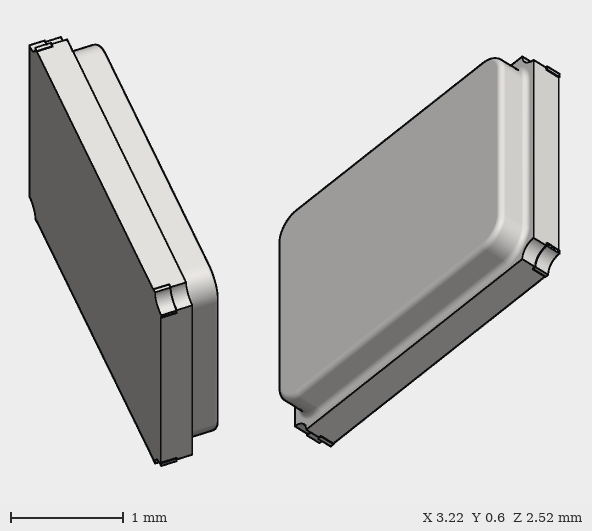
import cadquery as cq

length = 3.22
height = 2.52
depth = 0.6

plating = 0.01
base_length = length - 2 * plating
base_height = height - 2 * plating
base_depth = depth / 2
notch_radius = 0.15

pad_reach = 0.18
plated_radius = notch_radius - plating
pad_depth = base_depth / 2

lid_length = 3.0
lid_height = 2.302
lid_corner_radius = 0.25
lid_edge_radius = 0.05
foot_radius = 0.05

front_y = -depth / 2
lid_y = front_y + base_depth
corners = [(sx * base_length / 2, sz * base_height / 2) for sx in (-1, 1) for sz in (-1, 1)]


def plane_at(y):
    """Plane parallel to XZ whose normal points toward +Y."""
    return cq.Plane(origin=(0, y, 0), xDir=(1, 0, 0), normal=(0, 1, 0))


def plate(plate_length, plate_height, plate_depth):
    """Centred rectangular plate rising from the mounting face."""
    return cq.Workplane(plane_at(front_y)).rect(plate_length, plate_height).extrude(plate_depth)


def corner_blocks(reach, block_depth):
    """Square blocks reaching the same distance each way from the corners of the base."""
    side = 2 * reach
    return cq.Workplane(plane_at(front_y)).pushPoints(corners).rect(side, side).extrude(block_depth)


def corner_cylinders(radius):
    """Notch cutters centred on the four corners of the base."""
    return cq.Workplane(plane_at(front_y)).pushPoints(corners).circle(radius).extrude(base_depth)


def make_base():
    """Rectangular plate with a quarter-round notch at each corner."""
    return plate(base_length, base_height, base_depth).cut(corner_cylinders(notch_radius))


def make_pads():
    """Thin plating lining each notch, with straight ends that continue its round wall."""
    envelope = plate(length, height, pad_depth)
    end_cutters = corner_blocks(plated_radius, pad_depth).cut(plate(base_length, base_height, pad_depth))
    pads = corner_blocks(pad_reach, pad_depth).intersect(envelope)
    return pads.cut(corner_cylinders(plated_radius)).cut(end_cutters)


def make_lid():
    """Rounded lid with a softened outer edge."""
    return (
        cq.Workplane(plane_at(lid_y))
        .rect(lid_length, lid_height)
        .extrude(depth - base_depth)
        .edges("|Y")
        .fillet(lid_corner_radius)
        .faces(">Y")
        .edges()
        .fillet(lid_edge_radius)
    )


def add_foot_fillet(body):
    """Concave fillet where the lid meets the base."""
    margin = 0.003
    foot_zone = cq.selectors.BoxSelector(
        (-lid_length / 2 - margin, lid_y - margin, -lid_height / 2 - margin),
        (lid_length / 2 + margin, lid_y + margin, lid_height / 2 + margin),
        boundingbox=True,
    )
    return body.edges(foot_zone).fillet(foot_radius)


result = add_foot_fillet(make_base().union(make_lid())).union(make_pads())